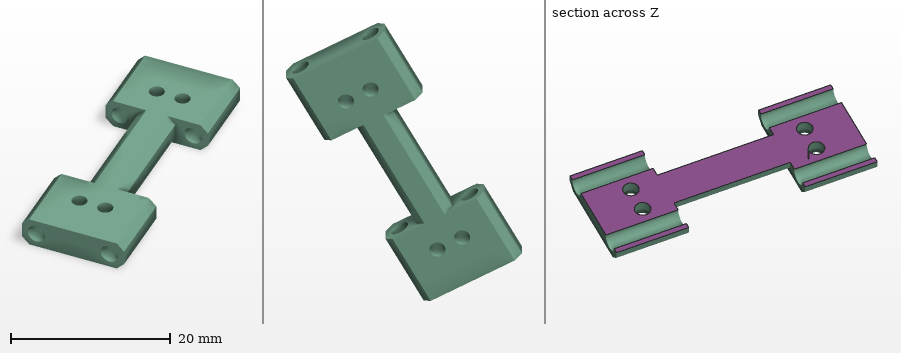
import cadquery as cq

length = 36.0
width = 14.0
thickness = 4.0
chamfer_height = 1.0

pad_length = 10.0
pad_chamfer_run = 1.0
bar_width = 5.1
bar_chamfer_run = 1.1

vertical_hole_diameter = 2.0
vertical_hole_spacing = 3.53
vertical_hole_end_distance = 6.0

long_hole_diameter = 2.4
long_hole_spacing = 10.0


def chamfered_bar(size_x, size_y, chamfer_run):
    """Bar centred on the origin with its four lengthwise edges chamfered."""
    half_width = size_x / 2
    half_flat = half_width - chamfer_run
    half_height = thickness / 2
    half_side = half_height - chamfer_height
    section = [
        (half_flat, half_height),
        (half_width, half_side),
        (half_width, -half_side),
        (half_flat, -half_height),
        (-half_flat, -half_height),
        (-half_width, -half_side),
        (-half_width, half_side),
        (-half_flat, half_height),
    ]
    return cq.Workplane("XZ").polyline(section).close().extrude(size_y / 2, both=True)


pad_offset = (length - pad_length) / 2
body = chamfered_bar(bar_width, length - 2 * pad_length, bar_chamfer_run)
for side in (-1, 1):
    pad = chamfered_bar(width, pad_length, pad_chamfer_run)
    body = body.union(pad.translate((0, side * pad_offset, 0)))

vertical_hole_row_spacing = length - 2 * vertical_hole_end_distance
vertical_holes = (
    cq.Workplane("XY")
    .rarray(vertical_hole_spacing, vertical_hole_row_spacing, 2, 2)
    .circle(vertical_hole_diameter / 2)
    .extrude(thickness, both=True)
)

long_holes = (
    cq.Workplane("XZ")
    .rarray(long_hole_spacing, 0.35, 2, 1)
    .circle(long_hole_diameter / 2)
    .extrude(length, both=True)
)

result = body.cut(vertical_holes).cut(long_holes)